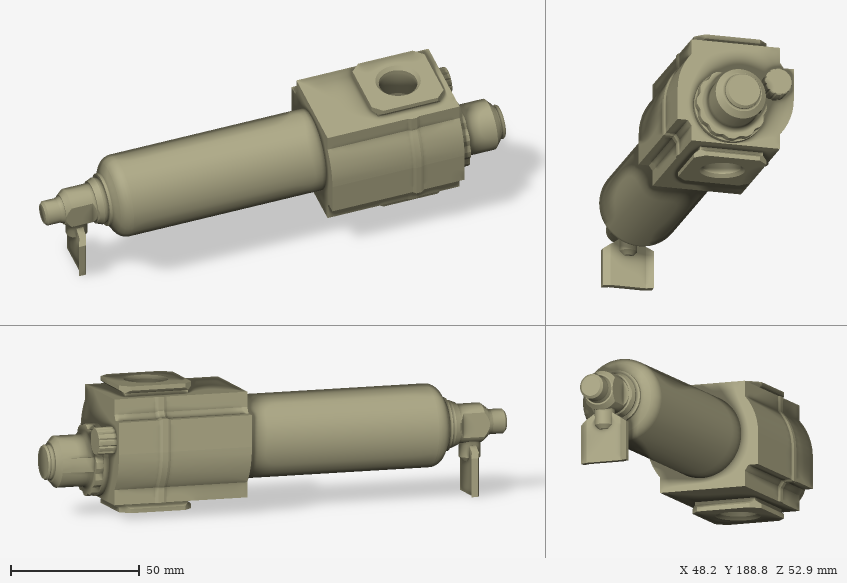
import cadquery as cq
import math


overall_length = 188.8

housing_length = 54.8
block_half_width = 18.0
block_half_height = 21.0
lobe_radius = 23.6
ledge_height = 12.7
lobe_foot = 15.0
step_width = 1.5
step_height = 2.3
port_y = 35.7

band_rise = 0.5
band_crest = 2.3
band_base = 4.7

pad_width = 29.3
pad_length = 29.8
pad_face_height = 25.1
pad_rim = 1.7
pad_undercut = 1.3
pad_inset = 1.9
pad_corner = 3.5
port_radius = 7.5
port_mouth_radius = 8.9
port_depth = 13.2

bowl_radius = 16.5
bowl_straight = 79.7
shoulder_radius = 14.0
shoulder_y = -84.2
shoulder_bulge = 0.47
collar_radius = 10.5
collar_start = -86.3
bowl_end = -87.5

bead_root_radius = 8.9
bead_radius = 9.5
bead_mid = -89.1
bead_tail_radius = 8.5
bead_end = -91.5
valve_radius = 7.7
valve_end = -101.8
valve_nose_radius = 6.0
valve_nose_end = -104.0
spout_radius = 5.0
spout_shoulder_radius = 5.5
spout_start = -105.8
spout_chamfer = 1.0
flat_half_width = 6.0
flat_start = -93.1
flat_ramp_start = -90.8

lever_y = -97.6
stem_length = 8.7
stem_width = 7.4
stem_bottom = -15.0
stem_chamfer = 1.7
wing_half_width = 10.0
wing_bend = 7.2
wing_thickness = 2.8
wing_tip_shift = 1.23
wing_bottom = -27.8
wing_shoulder = -12.5
wing_root_half_width = 3.8
wing_root = -8.5

dome_x = 3.0
dome_z = -6.2
dome_ring_radius = 14.4
dome_crest_radius = 14.2
dome_ring_height = 5.1
dome_band_height = 2.0
dome_groove_count = 12
dome_groove_depth = 1.0
dome_groove_half_angle = 10.0
dome_radius = 10.2
dome_flare = 1.5
dome_straight_top = 17.5
dome_shoulder_top = 19.6
dome_shoulder_radius = 8.0
cap_radius = 7.0
cap_height = 22.3
cap_edge = 0.5
cap_groove = 0.5
cap_groove_height = 21.0
rib_width = 5.7
rib_foot_radius = 11.7

drain_end = housing_length + cap_height - overall_length

knob_x = -15.5
knob_z = 4.3
knob_radius = 5.5
knob_height = 7.2
knob_chamfer = 0.4
knob_groove_count = 12
knob_groove_depth = 0.47
knob_groove_half_angle = 6.0


def housing_outline(y, rise=0.0):
    """Closed cross-section in the plane at y, the same after half a turn; its sides grow outward by rise."""
    side = block_half_width + rise
    lobe = lobe_radius + rise
    ledge = ledge_height + rise
    return (
        cq.Workplane("XZ", origin=(0, y, 0))
        .moveTo(-side, block_half_height)
        .lineTo(-side, ledge + step_height)
        .lineTo(-side - step_width, ledge)
        .lineTo(-lobe, ledge)
        .lineTo(-lobe, 0)
        .tangentArcPoint((-side, -lobe_foot), relative=False)
        .lineTo(-side, -block_half_height)
        .lineTo(side, -block_half_height)
        .lineTo(side, -ledge - step_height)
        .lineTo(side + step_width, -ledge)
        .lineTo(lobe, -ledge)
        .lineTo(lobe, 0)
        .tangentArcPoint((side, lobe_foot), relative=False)
        .lineTo(side, block_half_height)
        .close()
    )


def band():
    """Raised band around the housing sides, with sloped flanks."""
    crest = housing_outline(port_y + band_crest / 2, band_rise).extrude(band_crest)
    for side in (1, -1):
        foot_wire = housing_outline(port_y + side * band_base / 2).val()
        crest_wire = housing_outline(port_y + side * band_crest / 2, band_rise).val()
        crest = crest.union(cq.Workplane(cq.Solid.makeLoft([foot_wire, crest_wire], True)))
    return crest


def port_pad():
    """Square pad on top of the housing, undercut below its rim, its corners cut upright."""
    rim_bottom = pad_face_height - pad_rim
    neck_top = rim_bottom - pad_undercut
    neck_width = pad_width - 2 * pad_inset
    neck_length = pad_length - 2 * pad_inset
    undercut = (
        cq.Workplane("XY", origin=(0, port_y, neck_top))
        .rect(neck_width, neck_length)
        .workplane(offset=pad_undercut)
        .rect(pad_width, pad_length)
        .loft(ruled=True)
    )
    rim = undercut.faces(">Z").wires().toPending().extrude(pad_rim)
    neck = (
        cq.Workplane("XY", origin=(0, port_y, block_half_height))
        .rect(neck_width, neck_length)
        .extrude(neck_top - block_half_height)
    )
    pad = undercut.union(rim).union(neck)
    corner_cut = (
        cq.Workplane("XY", origin=(0, port_y, 0))
        .rect(pad_width, pad_length)
        .extrude(pad_face_height)
        .edges("|Z")
        .chamfer(pad_corner)
    )
    return pad.intersect(corner_cut)


def port_hole():
    """Blind port with a coned mouth."""
    mouth_depth = port_mouth_radius - port_radius
    return (
        cq.Workplane("XZ", origin=(0, port_y, pad_face_height))
        .polyline(
            [
                (0, 0),
                (port_mouth_radius, 0),
                (port_radius, -mouth_depth),
                (port_radius, -port_depth),
                (0, -port_depth),
            ]
        )
        .close()
        .revolve(360, (0, 0), (0, 1))
    )


def make_housing():
    body = housing_outline(housing_length).extrude(housing_length).union(band())
    for turn in (0, 180):
        body = body.union(port_pad().rotate((0, 0, 0), (0, 1, 0), turn))
        body = body.cut(port_hole().rotate((0, 0, 0), (0, 1, 0), turn))
    return body


def make_bowl():
    arc_mid = (
        (bowl_radius + shoulder_radius) / 2 + shoulder_bulge,
        (shoulder_y - bowl_straight) / 2 - shoulder_bulge,
    )
    return (
        cq.Workplane("XY")
        .moveTo(0, 0)
        .lineTo(bowl_radius, 0)
        .lineTo(bowl_radius, -bowl_straight)
        .threePointArc(arc_mid, (shoulder_radius, shoulder_y))
        .lineTo(collar_radius, collar_start)
        .lineTo(collar_radius, bowl_end)
        .lineTo(0, bowl_end)
        .close()
        .revolve(360, (0, 0), (0, 1))
    )


def valve_body():
    """Turned valve body with a bead, and a flat on each side."""
    turned = (
        cq.Workplane("XY")
        .moveTo(0, bowl_end)
        .lineTo(bead_root_radius, bowl_end)
        .lineTo(bead_radius, bead_mid)
        .lineTo(bead_tail_radius, bead_end)
        .lineTo(valve_radius, bead_end)
        .lineTo(valve_radius, valve_end)
        .lineTo(valve_nose_radius, valve_nose_end)
        .lineTo(spout_shoulder_radius, valve_nose_end)
        .lineTo(spout_radius, spout_start)
        .lineTo(spout_radius, drain_end + spout_chamfer)
        .lineTo(spout_radius - spout_chamfer, drain_end)
        .lineTo(0, drain_end)
        .close()
        .revolve(360, (0, 0), (0, 1))
    )
    for side in (1, -1):
        flat_cut = (
            cq.Workplane("XY")
            .polyline(
                [
                    (side * bead_root_radius, flat_ramp_start),
                    (side * flat_half_width, flat_start),
                    (side * flat_half_width, valve_nose_end),
                    (side * bead_root_radius, valve_nose_end),
                ]
            )
            .close()
            .extrude(valve_radius, both=True)
        )
        turned = turned.cut(flat_cut)
    return turned


def lever():
    """Oblong stem below the valve with a wing whose tips bend opposite ways."""
    stem = (
        cq.Workplane("XY", origin=(0, lever_y, stem_bottom))
        .slot2D(stem_length, stem_width, 90)
        .extrude(-stem_bottom)
        .faces("<Z")
        .chamfer(stem_chamfer)
    )
    half = wing_thickness / 2
    wing = (
        cq.Workplane("XY", origin=(0, lever_y, wing_bottom))
        .polyline(
            [
                (-wing_half_width, wing_tip_shift - half),
                (-wing_bend, -half),
                (wing_bend, -half),
                (wing_half_width, -wing_tip_shift - half),
                (wing_half_width, -wing_tip_shift + half),
                (wing_bend, half),
                (-wing_bend, half),
                (-wing_half_width, wing_tip_shift + half),
            ]
        )
        .close()
        .extrude(wing_root - wing_bottom)
    )
    face_shape = (
        cq.Workplane("XZ", origin=(0, lever_y, 0))
        .polyline(
            [
                (-wing_half_width, wing_bottom),
                (wing_half_width, wing_bottom),
                (wing_half_width, wing_shoulder),
                (wing_root_half_width, wing_root),
                (-wing_root_half_width, wing_root),
                (-wing_half_width, wing_shoulder),
            ]
        )
        .close()
        .extrude(wing_thickness + wing_tip_shift, both=True)
    )
    return stem.union(wing.intersect(face_shape))


def make_drain():
    return valve_body().union(lever())


def v_grooves(radius, depth, half_angle, count, start, height):
    """Lengthwise V grooves around a cylinder on the Y axis, half a pitch off the X axis."""
    spread = math.radians(half_angle)
    root = radius - depth
    outer = radius + depth
    flank_slope = radius * math.sin(spread) / (radius * math.cos(spread) - root)
    outer_half_width = flank_slope * (outer - root)
    groove = (
        cq.Workplane("XZ", origin=(0, start, 0))
        .polyline([(root, 0), (outer, outer_half_width), (outer, -outer_half_width)])
        .close()
        .extrude(-height)
    )
    pitch = 360 / count
    return [groove.rotate((0, 0, 0), (0, 1, 0), (index + 0.5) * pitch) for index in range(count)]


def dome_rib():
    """Rib on the -X side of the dome, sloping out to the ring along a cone."""
    cone = (
        cq.Workplane("XY")
        .polyline(
            [
                (0, dome_ring_height),
                (rib_foot_radius, dome_ring_height),
                (dome_radius, dome_straight_top),
                (0, dome_straight_top),
            ]
        )
        .close()
        .revolve(360, (0, 0), (0, 1))
    )
    strip = cq.Workplane("XY").box(
        rib_foot_radius, dome_straight_top, rib_width, centered=(False, False, True)
    )
    return cone.intersect(strip.translate((-rib_foot_radius, 0, 0)))


def make_dome():
    flare_radius = dome_radius + dome_flare
    flare_offset = dome_flare * (1 - math.sqrt(0.5))
    dome = (
        cq.Workplane("XY")
        .moveTo(0, 0)
        .lineTo(dome_ring_radius, 0)
        .lineTo(dome_ring_radius, dome_band_height)
        .lineTo(dome_crest_radius, dome_band_height)
        .lineTo(dome_crest_radius, dome_ring_height)
        .lineTo(flare_radius, dome_ring_height)
        .threePointArc(
            (dome_radius + flare_offset, dome_ring_height + flare_offset),
            (dome_radius, dome_ring_height + dome_flare),
        )
        .lineTo(dome_radius, dome_straight_top)
        .lineTo(dome_shoulder_radius, dome_shoulder_top)
        .lineTo(cap_radius, dome_shoulder_top)
        .lineTo(cap_radius, cap_groove_height - cap_groove)
        .lineTo(cap_radius - cap_groove, cap_groove_height)
        .lineTo(cap_radius, cap_groove_height + cap_groove)
        .lineTo(cap_radius - cap_edge, cap_height)
        .lineTo(0, cap_height)
        .close()
        .revolve(360, (0, 0), (0, 1))
        .union(dome_rib())
    )
    for groove in v_grooves(
        dome_crest_radius,
        dome_groove_depth,
        dome_groove_half_angle,
        dome_groove_count,
        dome_band_height,
        dome_ring_height - dome_band_height,
    ):
        dome = dome.cut(groove)
    return dome.translate((dome_x, housing_length, dome_z))


def make_knob():
    knob = (
        cq.Workplane("XZ").circle(knob_radius).extrude(-knob_height).faces(">Y").chamfer(knob_chamfer)
    )
    for groove in v_grooves(
        knob_radius, knob_groove_depth, knob_groove_half_angle, knob_groove_count, 0, knob_height
    ):
        knob = knob.cut(groove)
    return knob.translate((knob_x, housing_length, knob_z))


housing = make_housing()
bowl = make_bowl()
drain = make_drain()
dome = make_dome()
knob = make_knob()

result = cq.Compound.makeCompound([housing.val(), bowl.val(), drain.val(), dome.val(), knob.val()])